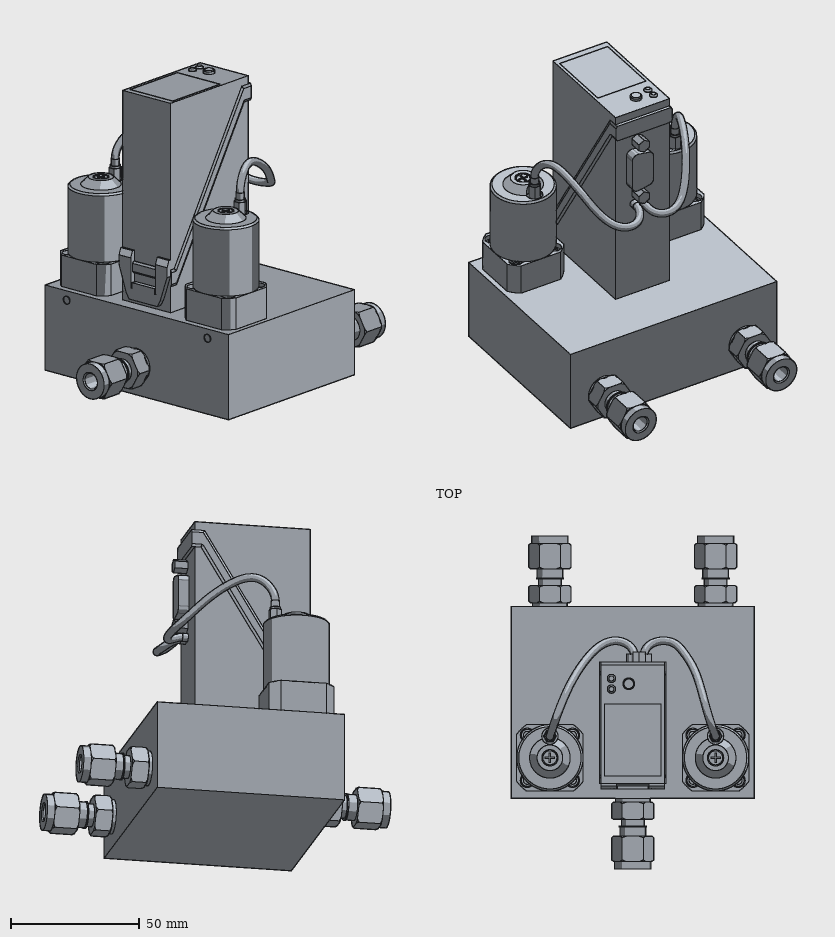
import cadquery as cq
import math


OVERALL_Y = 130.2
BLOCK_X, BLOCK_Y, BLOCK_Z = 95.0, 75.0, 35.0
FRONT_HOLE_X, FRONT_HOLE_Z = 36.5, 31.1
FRONT_HOLE_D, FRONT_HOLE_DEPTH = 3.3, 0.4

PORT_Z = 12.4
VALVE_PITCH, VALVE_Y = 64.7, -21.6
VALVE_X = VALVE_PITCH / 2

HOUSING_W = 24.9
HOUSING_FRONT_Y, HOUSING_BACK_Y = -31.6, 14.6
HOUSING_TOP_Z = 121.1
DISPLAY_W, DISPLAY_FRONT_Y, DISPLAY_BACK_Y, DISPLAY_DEPTH = 22.1, -28.8, -0.7, 0.1
BUTTON_X, BUTTON_Y, BUTTON_D, BUTTON_H, BUTTON_CHAMFER = -1.5, 7.3, 4.5, 1.4, 0.4
LED_X, LED_YS, LED_D, LED_H, LED_CHAMFER = -8.3, (5.2, 9.4), 3.3, 0.9, 0.7

STRAP_SIDE_T, STRAP_BACK_T, STRAP_BEVEL = 0.5, 1.3, 1.0
STRAP_W = 6.9
STRAP_HIGH_Z, STRAP_LOW_Z = 117.7, 52.6
STRAP_SLOPE_START_Y = 10.7
STRAP_SLOPE_SHIFT_Y = 1.4
STRAP_SLOPE = 1.62

CLIP_T = 2.1
CLIP_TOP_Z, CLIP_SHOULDER_Z, CLIP_BOTTOM_Z = 56.8, 54.0, 37.0
CLIP_TAPER_Z, CLIP_KNEE_Z = 50.0, 39.3
CLIP_KNEE_HALF_W, CLIP_BOTTOM_HALF_W = 8.7, 7.3
WINDOW_W, WINDOW_BOTTOM_Z = 12.8, 41.7
LEDGE_W, LEDGE_TOP_Z = 11.7, 44.0
TONGUE_TOP_Z, TONGUE_BOTTOM_Z, TONGUE_CHAMFER = 52.3, 47.5, 0.8

CONNECTOR_X, CONNECTOR_Z = 2.5, 94.8
CONNECTOR_W, CONNECTOR_SHORT_H, CONNECTOR_LONG_H = 9.8, 14.8, 18.2
CONNECTOR_T, CONNECTOR_R = 4.3, 2.5
JACK_PITCH, JACK_FLATS, JACK_L = 24.5, 4.8, 5.2
GROMMET_Z, GROMMET_PITCH, GROMMET_D, GROMMET_L = 77.6, 3.4, 3.3, 2.2

VALVE_FOOT_W, VALVE_FOOT_CORNER_D, VALVE_FOOT_H = 26.0, 31.8, 12.9
SCREW_OFFSET = 8.9
SCREW_POCKET_D, SCREW_POCKET_DEPTH = 5.5, 2.6
SCREW_HEAD_D, SCREW_HEAD_H = 4.5, 1.0
SCREW_SOCKET_D, SCREW_SOCKET_DEPTH = 3.0, 0.7
COIL_D, COIL_TOP_Z, COIL_CHAMFER = 25.9, 75.9, 0.8
CONE_BASE_D, CONE_TOP_D, CONE_TOP_Z = 15.9, 10.0, 78.9
CAP_RECESS_D, CAP_RECESS_DEPTH = 6.4, 0.8
CAP_SCREW_D, CAP_SCREW_H = 5.5, 0.7
CROSS_L, CROSS_W, CROSS_DEPTH = 3.8, 0.5, 0.4

GLAND_DY = 8.5
GLAND_WELL_D, GLAND_WELL_DEPTH = 6.4, 1.0
GLAND_FLATS, GLAND_TOP_Z = 4.4, 80.7
GLAND_NECK_D, GLAND_NECK_TOP_Z = 4.2, 81.6
FERRULE_D, FERRULE_TOP_Z = 3.3, 84.4
LEAD_D = 3.0
LEFT_LEAD_COURSE = [
    (-30.1, -6.5, 93.9), (-26.2, 3.4, 92.2), (-21.4, 12.4, 86.0), (-15.6, 19.7, 79.4),
    (-11.3, 22.9, 76.5), (-6.9, 24.1, 75.3), (-2.6, 23.0, 75.3), (0.1, 20.3, 76.5),
]
RIGHT_LEAD_COURSE = [
    (30.0, -6.4, 93.2), (27.1, 3.8, 91.1), (24.2, 12.4, 85.2), (19.8, 19.7, 78.3),
    (16.5, 22.9, 76.0), (12.2, 24.1, 74.9), (7.5, 23.0, 75.0), (4.8, 20.3, 76.5),
]

FITTING_L = (OVERALL_Y - BLOCK_Y) / 2
COLLAR_D, COLLAR_END = 13.7, 1.4
HEX_FLATS, HEX_CORNER_CHAMFER = 14.3, 0.7
BODY_HEX_END = 8.2
NECK_D, NECK_END = 9.0, 10.7
FLANGE_D, FLANGE_END = 10.7, 11.2
STUB_D = 10.2
NUT_START, NUT_END = 14.7, 24.6
NUT_RIM_D = 14.3
BORE_D, BORE_DEPTH, BORE_CHAMFER = 6.4, 15.6, 0.5


def corner_diameter(flats):
    """Diameter over the corners of a hexagon with the given width over its flats."""
    return 2 * flats / math.sqrt(3)


def disc(diameter, bottom, top, x=0, y=0):
    """Upright cylinder between two heights."""
    return cq.Workplane("XY", origin=(x, y, bottom)).circle(diameter / 2).extrude(top - bottom)


def box_between(width, y_front, y_back, bottom, top):
    """Box centred on X, between two Y positions and two heights."""
    box = cq.Workplane("XY").box(width, y_back - y_front, top - bottom, centered=(True, False, False))
    return box.translate((0, y_front, bottom))


def make_block():
    block = cq.Workplane("XY").box(BLOCK_X, BLOCK_Y, BLOCK_Z, centered=(True, True, False))
    for side in (-1, 1):
        hole = (
            cq.Workplane("XZ", origin=(side * FRONT_HOLE_X, -BLOCK_Y / 2, FRONT_HOLE_Z))
            .circle(FRONT_HOLE_D / 2)
            .extrude(-FRONT_HOLE_DEPTH)
        )
        block = block.cut(hole)
    return block


def make_strap():
    """Two bevelled side bands joined by a bar across the back of the housing."""
    low_y = STRAP_SLOPE_START_Y - (STRAP_HIGH_Z - STRAP_LOW_Z) / STRAP_SLOPE
    back_y = HOUSING_BACK_Y + STRAP_BACK_T
    overrun = 2 * STRAP_BEVEL
    outline = [
        (back_y + overrun, STRAP_HIGH_Z),
        (STRAP_SLOPE_START_Y, STRAP_HIGH_Z),
        (low_y, STRAP_LOW_Z),
        (HOUSING_FRONT_Y - overrun, STRAP_LOW_Z),
        (HOUSING_FRONT_Y - overrun, STRAP_LOW_Z - STRAP_W),
        (low_y + STRAP_SLOPE_SHIFT_Y, STRAP_LOW_Z - STRAP_W),
        (STRAP_SLOPE_START_Y + STRAP_SLOPE_SHIFT_Y, STRAP_HIGH_Z - STRAP_W),
        (back_y + overrun, STRAP_HIGH_Z - STRAP_W),
    ]
    bevel_angle = math.degrees(math.atan(STRAP_BEVEL / STRAP_SIDE_T))
    band = (
        cq.Workplane("YZ", origin=(HOUSING_W / 2, 0, 0))
        .polyline(outline)
        .close()
        .extrude(STRAP_SIDE_T, taper=bevel_angle)
    )
    outer_w = HOUSING_W + 2 * STRAP_SIDE_T
    band = band.intersect(box_between(outer_w, HOUSING_FRONT_Y, back_y, 0, HOUSING_TOP_Z))
    back_bar = box_between(HOUSING_W, HOUSING_BACK_Y, back_y, STRAP_HIGH_Z - STRAP_W, STRAP_HIGH_Z)
    return back_bar.union(band).union(band.mirror("YZ"))


def make_clip():
    """Front clip: two posts, a window between them and a tongue across the window."""
    front_y = HOUSING_FRONT_Y - CLIP_T
    mid_y = HOUSING_FRONT_Y - CLIP_T / 2
    profile = [
        (HOUSING_FRONT_Y, CLIP_BOTTOM_Z),
        (front_y, CLIP_BOTTOM_Z),
        (front_y, CLIP_SHOULDER_Z),
        (mid_y, CLIP_TOP_Z),
        (HOUSING_FRONT_Y, CLIP_TOP_Z),
    ]
    plate = cq.Workplane("YZ").polyline(profile).close().extrude(HOUSING_W / 2, both=True)
    right_edge = [
        (CLIP_BOTTOM_HALF_W, CLIP_BOTTOM_Z),
        (CLIP_KNEE_HALF_W, CLIP_KNEE_Z),
        (HOUSING_W / 2, CLIP_TAPER_Z),
        (HOUSING_W / 2, CLIP_TOP_Z),
    ]
    left_edge = [(-x, z) for x, z in reversed(right_edge)]
    outline = (
        cq.Workplane("XZ", origin=(0, HOUSING_FRONT_Y, 0))
        .polyline(right_edge + left_edge)
        .close()
        .extrude(CLIP_T)
    )
    window = box_between(WINDOW_W, front_y, HOUSING_FRONT_Y, WINDOW_BOTTOM_Z, CLIP_TOP_Z)
    ledge = box_between(LEDGE_W, front_y, HOUSING_FRONT_Y, CLIP_BOTTOM_Z, LEDGE_TOP_Z)
    tongue = (
        box_between(WINDOW_W, mid_y, HOUSING_FRONT_Y, TONGUE_BOTTOM_Z, TONGUE_TOP_Z)
        .faces("<Y")
        .edges("|X")
        .chamfer(TONGUE_CHAMFER)
    )
    return plate.intersect(outline).cut(window).union(ledge).union(tongue)


def make_rear_connector():
    """D-shaped connector shell with a jack screw above and below, and two grommets."""
    plane = cq.Workplane("XZ", origin=(CONNECTOR_X, HOUSING_BACK_Y, CONNECTOR_Z))
    outline = [
        (-CONNECTOR_W / 2, -CONNECTOR_SHORT_H / 2),
        (CONNECTOR_W / 2, -CONNECTOR_LONG_H / 2),
        (CONNECTOR_W / 2, CONNECTOR_LONG_H / 2),
        (-CONNECTOR_W / 2, CONNECTOR_SHORT_H / 2),
    ]
    connector = plane.polyline(outline).close().extrude(-CONNECTOR_T).edges("|Y").fillet(CONNECTOR_R)
    for side in (-1, 1):
        jack = (
            plane.center(0, side * JACK_PITCH / 2)
            .transformed(rotate=(0, 0, 90))
            .polygon(6, corner_diameter(JACK_FLATS))
            .extrude(-JACK_L)
        )
        grommet = (
            plane.center(side * GROMMET_PITCH / 2, GROMMET_Z - CONNECTOR_Z)
            .circle(GROMMET_D / 2)
            .extrude(-GROMMET_L)
        )
        connector = connector.add(jack).add(grommet)
    return connector


def make_housing():
    housing = box_between(HOUSING_W, HOUSING_FRONT_Y, HOUSING_BACK_Y, BLOCK_Z, HOUSING_TOP_Z)
    display = box_between(
        DISPLAY_W, DISPLAY_FRONT_Y, DISPLAY_BACK_Y, HOUSING_TOP_Z - DISPLAY_DEPTH, HOUSING_TOP_Z
    )
    button = disc(BUTTON_D, HOUSING_TOP_Z, HOUSING_TOP_Z + BUTTON_H, BUTTON_X, BUTTON_Y)
    housing = housing.cut(display).union(button.faces(">Z").chamfer(BUTTON_CHAMFER))
    for led_y in LED_YS:
        led = disc(LED_D, HOUSING_TOP_Z, HOUSING_TOP_Z + LED_H, LED_X, led_y)
        housing = housing.union(led.faces(">Z").chamfer(LED_CHAMFER))
    for piece in make_rear_connector().vals():
        housing = housing.union(cq.Workplane(piece))
    return housing.union(make_strap()).union(make_clip())


def make_valve_foot():
    """Square foot with rounded corners and a socket screw sunk in each corner."""
    top = BLOCK_Z + VALVE_FOOT_H
    foot = cq.Workplane("XY").box(VALVE_FOOT_W, VALVE_FOOT_W, VALVE_FOOT_H, centered=(True, True, False))
    foot = foot.translate((0, 0, BLOCK_Z)).intersect(disc(VALVE_FOOT_CORNER_D, BLOCK_Z, top))
    pocket_floor = top - SCREW_POCKET_DEPTH
    head_top = pocket_floor + SCREW_HEAD_H
    for side_x in (-1, 1):
        for side_y in (-1, 1):
            x, y = side_x * SCREW_OFFSET, side_y * SCREW_OFFSET
            pocket = disc(SCREW_POCKET_D, pocket_floor, top, x, y)
            head = disc(SCREW_HEAD_D, pocket_floor, head_top, x, y)
            socket = disc(SCREW_SOCKET_D, head_top - SCREW_SOCKET_DEPTH, head_top, x, y)
            foot = foot.cut(pocket).union(head.cut(socket))
    return foot


def make_valve_cap():
    """Coil can with a conical top that carries a cross-head screw in a recess."""
    can = disc(COIL_D, BLOCK_Z + VALVE_FOOT_H, COIL_TOP_Z).faces(">Z").chamfer(COIL_CHAMFER)
    cone = (
        cq.Workplane("XY", origin=(0, 0, COIL_TOP_Z))
        .circle(CONE_BASE_D / 2)
        .workplane(offset=CONE_TOP_Z - COIL_TOP_Z)
        .circle(CONE_TOP_D / 2)
        .loft()
    )
    recess_floor = CONE_TOP_Z - CAP_RECESS_DEPTH
    screw_top = recess_floor + CAP_SCREW_H
    screw = disc(CAP_SCREW_D, recess_floor, screw_top)
    for length_x, length_y in ((CROSS_L, CROSS_W), (CROSS_W, CROSS_L)):
        slot = cq.Workplane("XY").box(length_x, length_y, CROSS_DEPTH, centered=(True, True, False))
        screw = screw.cut(slot.translate((0, 0, screw_top - CROSS_DEPTH)))
    recess = disc(CAP_RECESS_D, recess_floor, CONE_TOP_Z)
    well = disc(GLAND_WELL_D, COIL_TOP_Z - GLAND_WELL_DEPTH, CONE_TOP_Z, 0, GLAND_DY)
    return can.union(cone).cut(recess).union(screw).cut(well)


def make_gland():
    """Hexagonal gland, its neck and the ferrule from which the lead leaves."""
    bottom = COIL_TOP_Z - GLAND_WELL_DEPTH
    hexagon = (
        cq.Workplane("XY", origin=(0, GLAND_DY, bottom))
        .polygon(6, corner_diameter(GLAND_FLATS))
        .extrude(GLAND_TOP_Z - bottom)
    )
    neck = disc(GLAND_NECK_D, GLAND_TOP_Z, GLAND_NECK_TOP_Z, 0, GLAND_DY)
    ferrule = disc(FERRULE_D, GLAND_NECK_TOP_Z, FERRULE_TOP_Z, 0, GLAND_DY)
    return hexagon.union(neck).union(ferrule)


def make_lead(side, course):
    """Round lead from the ferrule, up and round to the grommet behind the housing."""
    start = (side * VALVE_X, VALVE_Y + GLAND_DY, FERRULE_TOP_Z)
    end = (CONNECTOR_X + side * GROMMET_PITCH / 2, HOUSING_BACK_Y + GROMMET_L, GROMMET_Z)
    directions = [(0, 0, 1), (0, -1, 0)]
    path = cq.Workplane("XY").spline([start, *course, end], tangents=directions, scale=False)
    return cq.Workplane("XY", origin=start).circle(LEAD_D / 2).sweep(path)


def make_valve(side, course):
    valve = make_valve_foot().union(make_valve_cap()).union(make_gland())
    return valve.translate((side * VALVE_X, VALVE_Y, 0)).union(make_lead(side, course))


def make_hexagon(start, end):
    """Hexagon of the fitting with its corners turned off at both ends."""
    over_corners = corner_diameter(HEX_FLATS)
    prism = cq.Workplane("XY", origin=(0, 0, start)).polygon(6, over_corners).extrude(end - start)
    return prism.intersect(disc(over_corners, start, end).edges().chamfer(HEX_CORNER_CHAMFER))


def make_fitting():
    """Tube fitting standing on Z = 0: body hexagon, neck, flange, stub and nut."""
    fitting = (
        disc(COLLAR_D, 0, COLLAR_END)
        .union(make_hexagon(COLLAR_END, BODY_HEX_END))
        .union(disc(NECK_D, BODY_HEX_END, NECK_END))
        .union(disc(FLANGE_D, NECK_END, FLANGE_END))
        .union(disc(STUB_D, FLANGE_END, NUT_START))
        .union(make_hexagon(NUT_START, NUT_END))
        .union(disc(NUT_RIM_D, NUT_END, FITTING_L))
    )
    bore = disc(BORE_D, FITTING_L - BORE_DEPTH, FITTING_L)
    mouth_edge = cq.selectors.RadiusNthSelector(0)
    return fitting.cut(bore).edges(">Z").edges(mouth_edge).chamfer(BORE_CHAMFER)


def place_fitting(x, side):
    """Fitting on the block's rear face (side 1) or front face (side -1)."""
    turned = make_fitting().rotate((0, 0, 0), (1, 0, 0), -90 * side)
    return turned.translate((x, side * BLOCK_Y / 2, PORT_Z))


block = make_block()
housing = make_housing()
valves = [make_valve(side, course) for side, course in ((-1, LEFT_LEAD_COURSE), (1, RIGHT_LEAD_COURSE))]
fittings = [place_fitting(x, side) for x, side in ((0, -1), (-VALVE_X, 1), (VALVE_X, 1))]

bodies = [block, housing, *valves, *fittings]
result = cq.Compound.makeCompound([body.solids().val() for body in bodies])